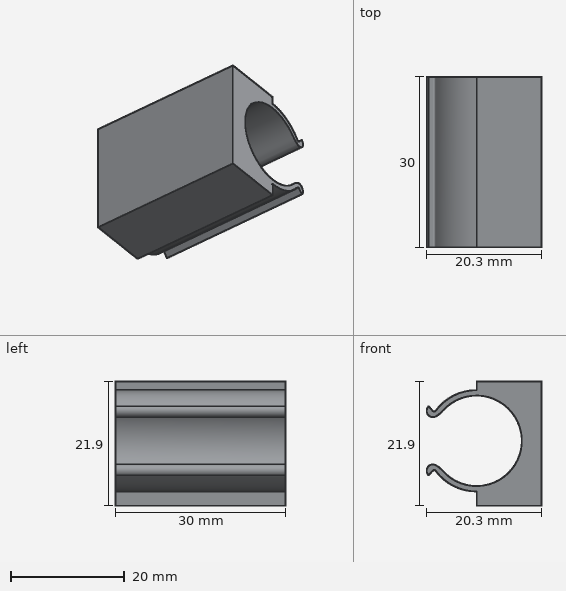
import cadquery as cq
import math

length = 30.0
bore_radius = 7.95
wall = 1.0
block_width = 11.45
top_step = 1.5
bottom_step = 2.5
lip_radius = 1.12
lip_distance = 9.32
lip_angle = 34.4
lip_back_angle = 48.0
blend_radius = 5.0
crook_radius = 0.3

outer_radius = bore_radius + wall
block_top = outer_radius + top_step
block_bottom = outer_radius + bottom_step


def polar(radius, degrees_from_minus_x, center=(0, 0)):
    """XZ point at a radius from a center, its direction measured upward from -X."""
    angle = math.radians(degrees_from_minus_x)
    return (center[0] - radius * math.cos(angle), center[1] + radius * math.sin(angle))


def extrude_profile(profile):
    """Extrude an XZ profile symmetrically about Y = 0."""
    return profile.extrude(length / 2, both=True)


def make_block():
    """Solid mounting block on the +X side of the bore axis."""
    height = block_top + block_bottom
    center_z = (block_top - block_bottom) / 2
    block = cq.Workplane("XZ").center(block_width / 2, center_z).rect(block_width, height)
    return extrude_profile(block)


def make_bore():
    """Cylinder cut through the block and both arms."""
    return extrude_profile(cq.Workplane("XZ").circle(bore_radius))


def triangle_angle(opposite, side_a, side_b):
    """Angle in degrees between two sides of a triangle, from its three side lengths."""
    cosine = (side_a**2 + side_b**2 - opposite**2) / (2 * side_a * side_b)
    return math.degrees(math.acos(cosine))


def make_upper_arm():
    """Arm ending in a rounded lip turned outward, solid in to the bore axis until the bore is cut."""
    lip_center = polar(lip_distance, lip_angle)
    lip_tip = polar(lip_radius, lip_back_angle, lip_center)

    blend_distance = bore_radius + blend_radius
    blend_offset = blend_radius - lip_radius
    blend_angle = lip_angle + triangle_angle(blend_offset, blend_distance, lip_distance)
    bore_end = polar(bore_radius, blend_angle)
    turn = triangle_angle(lip_distance, blend_distance, blend_offset)
    lip_start_angle = blend_angle - 180 + turn
    lip_start = polar(lip_radius, lip_start_angle, lip_center)
    lip_middle = polar(lip_radius, (lip_start_angle + lip_back_angle) / 2, lip_center)

    skew = math.radians(lip_back_angle - lip_angle)
    back_offset = lip_distance * math.sin(skew)
    back_foot = lip_distance * math.cos(skew)
    crook_distance = outer_radius + crook_radius
    crook_rise = crook_radius - back_offset
    crook_angle = lip_back_angle + math.degrees(math.asin(crook_rise / crook_distance))
    crook_along = math.sqrt(crook_distance**2 - crook_rise**2) - back_foot
    crook_start = polar(crook_along, lip_back_angle, lip_center)
    crook_end = polar(outer_radius, crook_angle)

    profile = (
        cq.Workplane("XZ")
        .moveTo(0, 0)
        .lineTo(*bore_end)
        .radiusArc(lip_start, blend_radius)
        .threePointArc(lip_middle, lip_tip)
        .lineTo(*crook_start)
        .radiusArc(crook_end, -crook_radius)
        .threePointArc(polar(outer_radius, (crook_angle + 90) / 2), (0, outer_radius))
        .close()
    )
    return extrude_profile(profile)


upper_arm = make_upper_arm()
lower_arm = upper_arm.mirror("XY")
result = make_block().union(upper_arm).union(lower_arm).cut(make_bore())